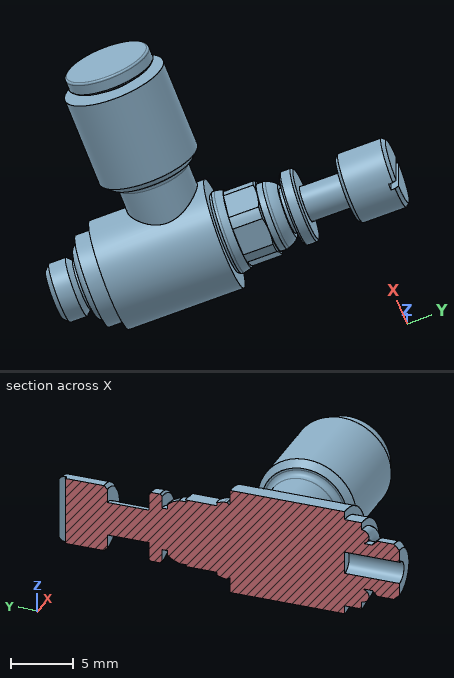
import cadquery as cq
import math


inlet_radius = 2.5
inlet_chamfer = 0.47
inlet_shoulder_y = 1.9
groove_radius = 2.07
bore_radius = 0.93

seat_y = 3.2
seat_radius = 3.9
seal_radius = 3.27
seal_section_radius = 0.6

body_y = 4.67
body_top_y = 14.48
body_diameter = 9.25
body_radius = body_diameter / 2

flange_radius = 3.47
flange_end_radius = 3.3
flange_rim_y = 14.72
flange_shoulder_y = 14.95
flange_bulge = 0.03

hex_y = 15.62
hex_top_y = 18.28
hex_across_flats = 6.05
hex_corner_radius = 3.25
hex_chamfer_height = 0.12
hex_chamfer_width = 0.2

dome_radius = 2.85
dome_rim_y = 18.8
dome_shoulder_radius = 2.77
dome_shoulder_y = 19.05
dome_top_radius = 2.25
dome_top_y = 19.85
dome_bulge = 0.05

neck_radius = 1.9
collar_y = 20.26
collar_top_y = 21.43
collar_radius = 3.12
collar_chamfer = 0.18
stem_radius = 1.5
knob_y = 24.95
knob_top_y = 29.2
knob_radius = 2.95
knob_chamfer = 0.3
slot_width = 0.53
slot_depth = 0.65

overall_length_x = 21.6
branch_y = 10.95
branch_radius = 3.0
branch_fillet = 0.5
socket_x = 7.15
socket_end_x = 15.3
socket_radius = 4.23
socket_chamfer = 0.55
sleeve_radius = 2.1
release_ring_x = 15.8
release_ring_end_x = overall_length_x - body_radius
release_ring_radius = 3.6
release_ring_chamfer = 0.18
release_ring_fillet = 0.18


def cylinder_y(radius, start, end):
    """Cylinder on the valve axis between two Y stations."""
    return cq.Workplane("XZ", origin=(0, start, 0)).circle(radius).extrude(start - end)


def cylinder_x(radius, start, end):
    """Cylinder on the branch axis between two X stations."""
    return cq.Workplane("YZ", origin=(start, branch_y, 0)).circle(radius).extrude(end - start)


def turn(profile):
    """Solid of revolution about the valve axis of a profile in the XY plane."""
    return profile.close().revolve(360, (0, 0, 0), (0, 1, 0))


def inlet():
    cone_start_y = inlet_shoulder_y + inlet_radius - groove_radius
    nipple = turn(
        cq.Workplane("XY")
        .lineTo(inlet_radius - inlet_chamfer, 0)
        .lineTo(inlet_radius, inlet_chamfer)
        .lineTo(inlet_radius, inlet_shoulder_y)
        .lineTo(groove_radius, cone_start_y)
        .lineTo(groove_radius, seat_y)
        .lineTo(0, seat_y)
    )
    seal_center_radius = seal_radius - seal_section_radius
    seal = turn(
        cq.Workplane("XY")
        .moveTo(seal_center_radius - seal_section_radius, seat_y)
        .threePointArc(
            (seal_center_radius, seat_y - seal_section_radius),
            (seal_radius, seat_y),
        )
    )
    return nipple.union(seal)


def flange():
    bulge_y = (flange_shoulder_y + hex_y) / 2
    bulge_radius = (flange_end_radius + flange_radius) / 2 + flange_bulge
    return turn(
        cq.Workplane("XY")
        .moveTo(0, body_top_y)
        .lineTo(flange_end_radius, body_top_y)
        .lineTo(flange_radius, flange_rim_y)
        .lineTo(flange_radius, flange_shoulder_y)
        .threePointArc((bulge_radius, bulge_y), (flange_end_radius, hex_y))
        .lineTo(0, hex_y)
    )


def hexagon():
    across_corners = hex_across_flats / math.cos(math.pi / 6)
    prism = (
        cq.Workplane("XZ", origin=(0, hex_y, 0))
        .polygon(6, across_corners)
        .extrude(hex_y - hex_top_y)
    )
    turned_blank = turn(
        cq.Workplane("XY")
        .moveTo(0, hex_y)
        .lineTo(hex_corner_radius, hex_y)
        .lineTo(hex_corner_radius, hex_top_y - hex_chamfer_height)
        .lineTo(hex_corner_radius - hex_chamfer_width, hex_top_y)
        .lineTo(0, hex_top_y)
    )
    return prism.intersect(turned_blank)


def dome():
    bulge_point = (
        (dome_shoulder_radius + dome_top_radius) / 2 + dome_bulge,
        (dome_shoulder_y + dome_top_y) / 2 + dome_bulge,
    )
    return turn(
        cq.Workplane("XY")
        .moveTo(0, hex_top_y)
        .lineTo(dome_radius, hex_top_y)
        .lineTo(dome_radius, dome_rim_y)
        .lineTo(dome_shoulder_radius, dome_shoulder_y)
        .threePointArc(bulge_point, (dome_top_radius, dome_top_y))
        .lineTo(0, dome_top_y)
    )


def knob():
    head = cylinder_y(knob_radius, knob_y, knob_top_y).edges().chamfer(knob_chamfer)
    slot = cq.Workplane("XY").box(slot_width, 2 * slot_depth, 2 * knob_radius)
    slot = slot.translate((0, knob_top_y, 0))
    return head.cut(slot)


def branch():
    fillet_start_x = socket_x - branch_fillet
    fillet_reach = branch_fillet * math.sqrt(0.5)
    fillet_middle = (
        fillet_start_x + fillet_reach,
        branch_radius + branch_fillet - fillet_reach,
    )
    socket = (
        cq.Workplane("XY", origin=(0, branch_y, 0))
        .lineTo(0, branch_radius)
        .lineTo(fillet_start_x, branch_radius)
        .threePointArc(fillet_middle, (socket_x, branch_radius + branch_fillet))
        .lineTo(socket_x, socket_radius - socket_chamfer)
        .lineTo(socket_x + socket_chamfer, socket_radius)
        .lineTo(socket_end_x, socket_radius)
        .lineTo(socket_end_x, 0)
        .close()
        .revolve(360, (0, 0, 0), (1, 0, 0))
    )
    sleeve = cylinder_x(sleeve_radius, socket_end_x, release_ring_x)
    ring = cylinder_x(release_ring_radius, release_ring_x, release_ring_end_x)
    ring = ring.faces("<X").chamfer(release_ring_chamfer)
    ring = ring.faces(">X").edges().fillet(release_ring_fillet)
    return socket.union(sleeve).union(ring)


result = (
    inlet()
    .union(cylinder_y(seat_radius, seat_y, body_y))
    .union(cylinder_y(body_radius, body_y, body_top_y))
    .union(flange())
    .union(hexagon())
    .union(dome())
    .union(cylinder_y(neck_radius, dome_top_y, collar_y))
    .union(cylinder_y(collar_radius, collar_y, collar_top_y).edges().chamfer(collar_chamfer))
    .union(cylinder_y(stem_radius, collar_top_y, knob_y))
    .union(knob())
    .union(branch())
    .cut(cylinder_y(bore_radius, 0, body_y))
)